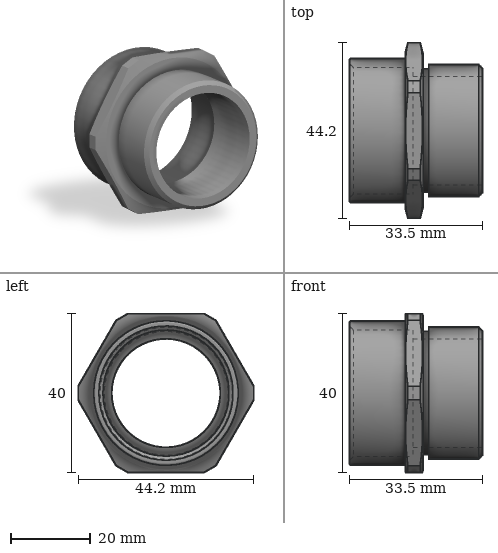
import cadquery as cq
import math

total_length = 33.5
hex_start = 14.0
hex_end = 18.5
thread_start = 19.95

socket_radius = 18.15
neck_radius = 15.55
thread_radius = 16.6
socket_bore_radius = 15.85
through_bore_radius = 13.6
socket_bore_depth = 16.0

socket_rim_fillet = 0.57
socket_mouth_chamfer = 1.0
thread_chamfer = 1.0

across_flats = 40.0
across_cut_corners = 44.2
hex_face_radius = 19.45
hex_chamfer_angle = 15.0


def cylinder(radius, start, end):
    """Cylinder about the X axis between two axial stations."""
    return cq.Workplane("YZ", origin=(start, 0, 0)).circle(radius).extrude(end - start)


def hex_prism(flat_distance, first_corner_angle):
    """Hexagonal prism over the nut length, sized by the distance across its flats."""
    corner_radius = flat_distance / 2 / math.cos(math.pi / 6)
    corners = []
    for index in range(6):
        angle = math.radians(first_corner_angle + 60 * index)
        corners.append((corner_radius * math.cos(angle), corner_radius * math.sin(angle)))
    outline = cq.Workplane("YZ", origin=(hex_start, 0, 0)).polyline(corners).close()
    return outline.extrude(hex_end - hex_start)


def hexagon():
    """Hexagon with cut corners and a shallow conical chamfer on both faces."""
    prism = hex_prism(across_flats, 0).intersect(hex_prism(across_cut_corners, 30))
    envelope_radius = across_cut_corners / 2 / math.cos(math.pi / 6)
    cone_length = (envelope_radius - hex_face_radius) * math.tan(math.radians(hex_chamfer_angle))
    envelope = (
        cq.Workplane("XY")
        .moveTo(hex_start, 0)
        .lineTo(hex_start, hex_face_radius)
        .lineTo(hex_start + cone_length, envelope_radius)
        .lineTo(hex_end - cone_length, envelope_radius)
        .lineTo(hex_end, hex_face_radius)
        .lineTo(hex_end, 0)
        .close()
        .revolve(360, (0, 0, 0), (1, 0, 0))
    )
    return prism.intersect(envelope)


def socket():
    """Plain sleeve with a rounded outer rim."""
    return cylinder(socket_radius, 0, hex_start).faces("<X").edges().fillet(socket_rim_fillet)


def threaded_end():
    """Relief neck and thread envelope with a chamfered tip."""
    neck = cylinder(neck_radius, hex_end, thread_start)
    thread = cylinder(thread_radius, thread_start, total_length)
    thread = thread.faces(">X").edges().chamfer(thread_chamfer)
    return neck.union(thread)


def bore():
    """Stepped bore: a chamfered socket followed by a narrower through hole."""
    mouth = (
        cq.Workplane("XY")
        .lineTo(0, socket_bore_radius + socket_mouth_chamfer)
        .lineTo(socket_mouth_chamfer, socket_bore_radius)
        .lineTo(socket_mouth_chamfer, 0)
        .close()
        .revolve(360, (0, 0, 0), (1, 0, 0))
    )
    socket_bore = cylinder(socket_bore_radius, 0, socket_bore_depth)
    through_bore = cylinder(through_bore_radius, 0, total_length)
    return mouth.union(socket_bore).union(through_bore)


result = socket().union(hexagon()).union(threaded_end()).cut(bore())